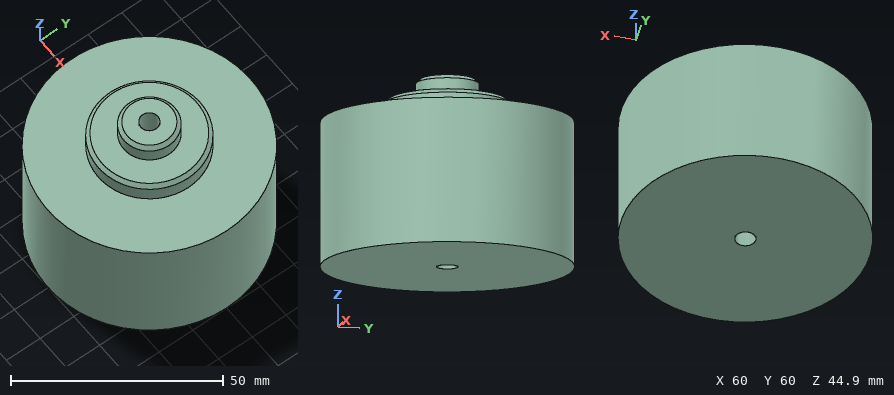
import cadquery as cq

body_diameter = 60.0
collar_diameter = body_diameter / 2
tip_diameter = collar_diameter / 2
bore_diameter = 5.0

total_height = 44.9
collar_height = 5.3
tip_height = 5.0
body_height = total_height - collar_height - tip_height
edge_chamfer = 1.0


def chamfered_disc(diameter, height, base_z):
    """Upright cylinder with a chamfered top rim."""
    disc = cq.Workplane("XY").workplane(offset=base_z).circle(diameter / 2).extrude(height)
    return disc.faces(">Z").edges().chamfer(edge_chamfer)


body = cq.Workplane("XY").circle(body_diameter / 2).extrude(body_height)
collar = chamfered_disc(collar_diameter, collar_height, body_height)
tip = chamfered_disc(tip_diameter, tip_height, body_height + collar_height)

bore = cq.Workplane("XY").circle(bore_diameter / 2).extrude(total_height)

result = body.union(collar).union(tip).cut(bore)